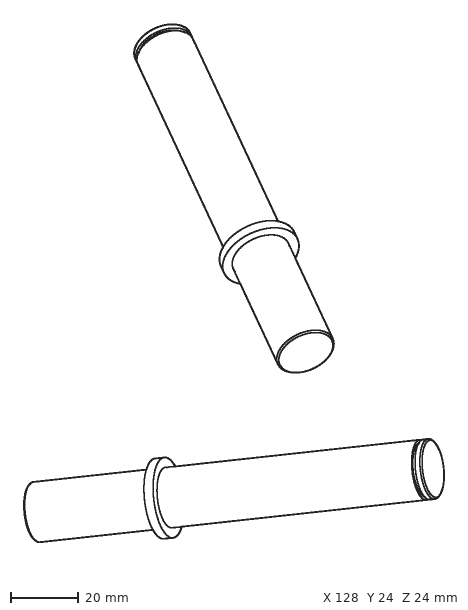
import cadquery as cq

length = 128.0
shaft_diameter = 18.0
end_chamfer = 0.5

collar_diameter = 24.0
collar_width = 3.0
collar_distance = 85.0

groove_diameter = 16.3
groove_width = 1.1
groove_distance = 2.0

left_end = -length / 2


def disc(diameter, width, distance):
    """Cylinder along X whose near face is the given distance from the left end."""
    plane = cq.Workplane("YZ", origin=(left_end + distance, 0, 0))
    return plane.circle(diameter / 2).extrude(width)


def make_shaft():
    """Plain shaft with both end rims chamfered."""
    return disc(shaft_diameter, length, 0).faces("<X or >X").chamfer(end_chamfer)


def make_groove_cutter():
    """Ring that leaves the groove floor; its outside clears the shaft."""
    outer = disc(collar_diameter, groove_width, groove_distance)
    floor = disc(groove_diameter, groove_width, groove_distance)
    return outer.cut(floor)


collar = disc(collar_diameter, collar_width, collar_distance)
result = make_shaft().cut(make_groove_cutter()).union(collar)